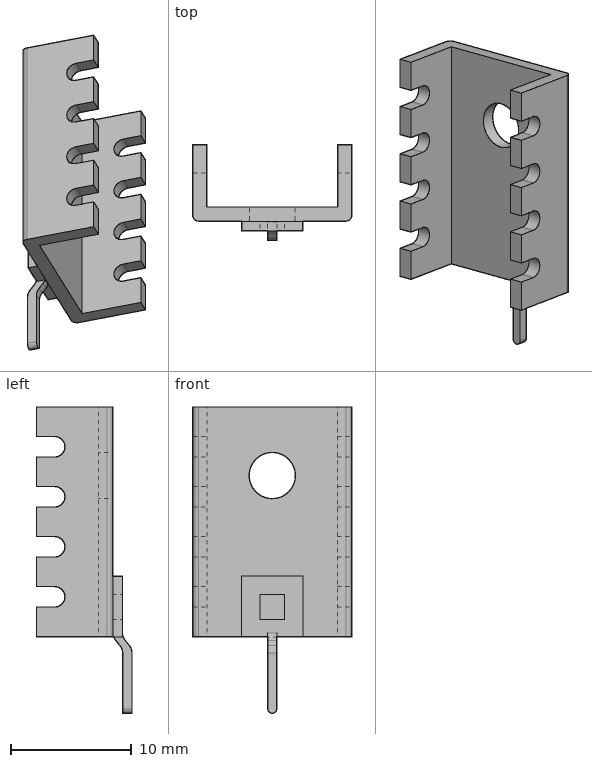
import cadquery as cq
import math

sink_width = 13.2
overall_depth = 7.95
sink_depth = 6.35
sink_height = 19.05
wall = 1.2
corner_radius = 0.5

mount_hole_diameter = 3.8
mount_hole_drop = 5.7

slot_count = 4
slot_width = 1.68
slot_depth = 2.35
tooth_height = (sink_height - slot_count * slot_width) / (slot_count + 1)
slot_pitch = tooth_height + slot_width

tab_width = 5.08
tab_height = 5.03
tab_thickness = (overall_depth - sink_depth) / 2
stud_size = 2.05
stud_centre_height = 2.46

lead_width = 0.75
lead_length = 6.35
tip_radius = 0.49 * lead_width
bend_start_height = 0.33
bend_radius = 1.0
bend_angle = math.radians(39)


def make_heat_sink():
    channel = (
        cq.Workplane("XY")
        .box(sink_width, sink_depth, sink_height, centered=(True, False, False))
        .faces("<Y").edges("|Z").fillet(corner_radius)
    )
    interior = (
        cq.Workplane("XY", origin=(0, wall, 0))
        .box(sink_width - 2 * wall, sink_depth, sink_height, centered=(True, False, False))
    )
    sink = channel.cut(interior)

    mount_hole = (
        cq.Workplane("XZ", origin=(0, 0, sink_height - mount_hole_drop))
        .circle(mount_hole_diameter / 2)
        .extrude(-wall)
    )
    sink = sink.cut(mount_hole)
    for index in range(slot_count):
        sink = sink.cut(make_edge_slot(tooth_height + slot_width / 2 + index * slot_pitch))
    return sink.union(make_stud())


def make_edge_slot(centre_height):
    """Round-ended slot open at the free edge, crossing both side walls."""
    radius = slot_width / 2
    bottom_y = sink_depth - slot_depth
    return (
        cq.Workplane("YZ", origin=(-sink_width / 2, 0, centre_height))
        .moveTo(sink_depth, radius)
        .lineTo(bottom_y + radius, radius)
        .threePointArc((bottom_y, 0), (bottom_y + radius, -radius))
        .lineTo(sink_depth, -radius)
        .close()
        .extrude(sink_width)
    )


def make_stud():
    """Square stud that fills the tab window, flush with its outer face."""
    return (
        cq.Workplane("XZ", origin=(0, 0, stud_centre_height))
        .rect(stud_size, stud_size)
        .extrude(tab_thickness)
    )


def make_lead():
    step = tab_thickness
    arc_out = bend_radius * (1 - math.cos(bend_angle))
    arc_drop = bend_radius * math.sin(bend_angle)
    half_out = bend_radius * (1 - math.cos(bend_angle / 2))
    half_drop = bend_radius * math.sin(bend_angle / 2)
    slope_drop = (step - 2 * arc_out) / math.tan(bend_angle)
    top = bend_start_height
    bend_end = top - 2 * arc_drop - slope_drop

    lead = (
        cq.Workplane("YZ", origin=(-lead_width / 2, 0, 0))
        .moveTo(0, top)
        .threePointArc((-half_out, top - half_drop), (-arc_out, top - arc_drop))
        .lineTo(arc_out - step, bend_end + arc_drop)
        .threePointArc((half_out - step, bend_end + half_drop), (-step, bend_end))
        .lineTo(-step, -lead_length)
        .lineTo(-2 * step, -lead_length)
        .lineTo(-2 * step, bend_end)
        .threePointArc((half_out - 2 * step, bend_end + half_drop),
                       (arc_out - 2 * step, bend_end + arc_drop))
        .lineTo(-arc_out - step, top - arc_drop)
        .threePointArc((-half_out - step, top - half_drop), (-step, top))
        .close()
        .extrude(lead_width)
    )
    return lead.faces("<Z").edges("|Y").fillet(tip_radius)


def make_solder_tab():
    plate = (
        cq.Workplane("XZ", origin=(0, 0, tab_height / 2))
        .rect(tab_width, tab_height)
        .extrude(tab_thickness)
    )
    return plate.cut(make_stud()).union(make_lead())


heat_sink = make_heat_sink()
solder_tab = make_solder_tab()

result = cq.Compound.makeCompound([heat_sink.val(), solder_tab.val()])